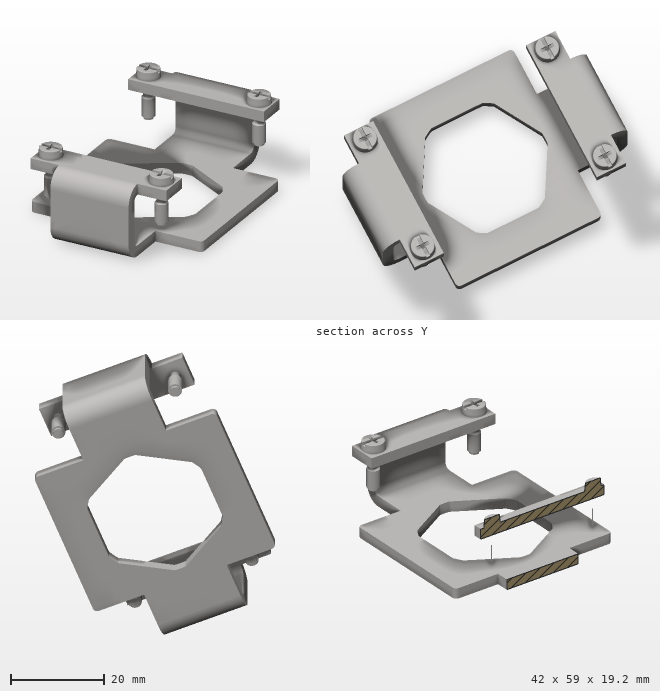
import cadquery as cq
import math

thickness = 2.55
length_y = 59.0
bracket_height = 17.2
strip_width = 19.1
bend_outer_radius = 4.0
bend_inner_radius = bend_outer_radius - thickness

plate_x = 42.0
plate_y = 34.9
plate_corner_radius = 1.0
hexagon_flats = 26.3
hexagon_corner_circle = 29.0

bar_x = 33.15
bar_width = 7.0
bar_outer_y = length_y / 2 - bend_outer_radius
bar_inner_y = bar_outer_y - bar_width

screw_x = 13.5
screw_y = (bar_outer_y + bar_inner_y) / 2
head_diameter = 5.4
head_taper = 5.0
head_height = 2.0
head_rounding = 0.2
neck_diameter = 2.25
thread_diameter = 3.0
thread_chamfer = 0.35
tip_diameter = 2.2
neck_depth = 4.6
thread_depth = 9.4
screw_depth = 10.05

slot_width = 0.9
slot_depth = 0.7
cross_width = 0.8
cross_span = 3.1
cross_depth = 1.3


def strip():
    """C-shaped bent strip, closed by the base below and open between the bars above."""
    outer = (
        cq.Workplane("XY")
        .box(strip_width, length_y, bracket_height, centered=(True, True, False))
        .edges("|X")
        .fillet(bend_outer_radius)
    )
    inner = (
        cq.Workplane("XY")
        .workplane(offset=thickness)
        .box(
            strip_width,
            length_y - 2 * thickness,
            bracket_height - 2 * thickness,
            centered=(True, True, False),
        )
        .edges("|X")
        .fillet(bend_inner_radius)
    )
    gap = (
        cq.Workplane("XY")
        .workplane(offset=bracket_height - thickness)
        .box(strip_width, 2 * bar_inner_y, thickness, centered=(True, True, False))
    )
    return outer.cut(inner).cut(gap)


def base_plate():
    """Flat plate with rounded corners."""
    return (
        cq.Workplane("XY")
        .box(plate_x, plate_y, thickness, centered=(True, True, False))
        .edges("|Z")
        .fillet(plate_corner_radius)
    )


def opening():
    """Hexagonal through opening whose corners are rounded by a concentric circle."""
    hexagon = (
        cq.Workplane("XY")
        .polygon(6, hexagon_flats / math.cos(math.pi / 6))
        .extrude(thickness)
        .rotate((0, 0, 0), (0, 0, 1), 30)
    )
    corner_cylinder = cq.Workplane("XY").circle(hexagon_corner_circle / 2).extrude(thickness)
    return hexagon.intersect(corner_cylinder)


def bar(side):
    """Cross bar at the end of the strip on the given Y side."""
    return (
        cq.Workplane("XY")
        .box(bar_x, bar_width, thickness)
        .translate((0, side * screw_y, bracket_height - thickness / 2))
    )


def screw():
    """Captive screw along Z with the seat of its head at the origin."""
    head = (
        cq.Workplane("XY")
        .circle(head_diameter / 2)
        .extrude(head_height, taper=head_taper)
        .faces(">Z")
        .edges()
        .fillet(head_rounding)
    )
    neck = cq.Workplane("XY").circle(neck_diameter / 2).extrude(-neck_depth)
    thread = (
        cq.Workplane("XY")
        .workplane(offset=-thread_depth)
        .circle(thread_diameter / 2)
        .extrude(thread_depth - neck_depth)
        .faces(">Z")
        .chamfer(thread_chamfer)
    )
    tip = (
        cq.Workplane("XY")
        .workplane(offset=-screw_depth)
        .circle(tip_diameter / 2)
        .extrude(screw_depth - thread_depth)
    )
    return head.union(neck).union(thread).union(tip).cut(drive())


def drive():
    """Straight slot along X combined with a cross of two V-shaped arms."""
    slot = (
        cq.Workplane("XY")
        .workplane(offset=head_height)
        .rect(head_diameter, slot_width)
        .extrude(-slot_depth)
    )
    arm = (
        cq.Workplane("XZ")
        .moveTo(-cross_span / 2, head_height)
        .lineTo(cross_span / 2, head_height)
        .lineTo(0, head_height - cross_depth)
        .close()
        .extrude(cross_width / 2, both=True)
    )
    return slot.union(arm).union(arm.rotate((0, 0, 0), (0, 0, 1), 90))


result = strip().union(base_plate()).cut(opening())
for side_y in (-1, 1):
    result = result.union(bar(side_y))
    for side_x in (-1, 1):
        seat = (side_x * screw_x, side_y * screw_y, bracket_height)
        result = result.union(screw().translate(seat))